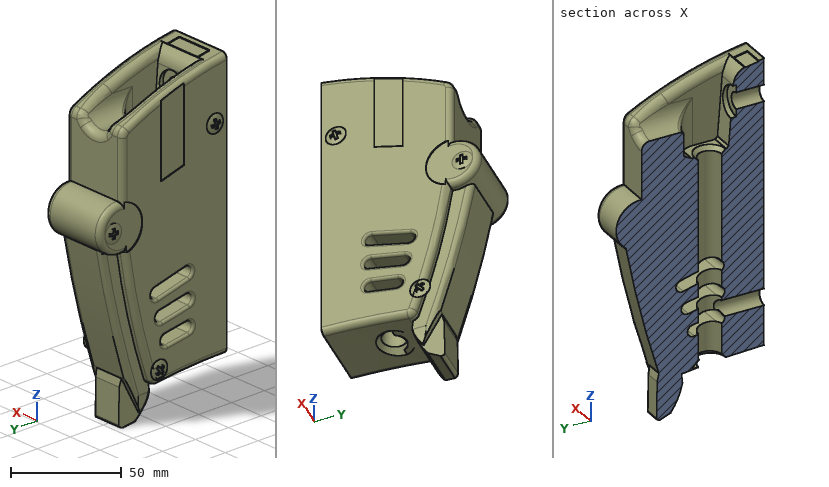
import cadquery as cq
import math


clearance = 1.7

body_half_width = 18.5
body_front_y = 63.8
body_top_z = 171.9
body_base_z = 23.7
front_top_z = 151.1
roof_mid_point = (26.0, 166.4)
lower_front_mid_point = (56.9, 62.7)
toe_point = (44.7, 20.3)
base_mid_point = (20.6, 22.9)
front_corner_radius = 5.2
toe_radius = 3.8
edge_radius = 3.1

channel_radius = 10.0
channel_z = 155.5
pocket_end_y = 31.6
pocket_back_y = 18.5
pocket_foot_y = 19.8
pocket_rim_y = 10.3
pocket_rim_z = 170.0
pocket_floor_z = 130.7
pocket_round_mid_point = (14.5, 167.1)
pocket_round_end_point = (16.2, 162.5)
floor_front_y = 37.8
ramp_top_point = (42.0, 133.0)
ramp_overlap = 0.9
rim_radius = 4.3
lip_radius = 2.0

bore_y = 28.2
bore_diameter = 12.0
bore_entry_diameter = 16.2
bore_exit_diameter = 18.5
bore_exit_z = 22.0

mount_diameter = 8.5
mount_seat_diameter = 16.2
mount_seat_y = 14.6
upper_mount_z = 153.9
lower_mount_z = 48.7

slots = [
    ((42.8, 66.0), (23.9, 70.8)),
    ((40.0, 53.8), (23.5, 57.2)),
    ((36.8, 41.5), (23.5, 43.7)),
]
slot_radius = 3.0
slot_edge_radius = 1.4

label_depth = 0.25
side_label_back_y = 26.0
side_label_front_y = 39.9
side_label_back_z = 124.3
side_label_front_z = 120.3
top_label_half_width = 10.1
top_label_back_y = 3.0
top_label_back_z = 171.0
top_label_front_y = 10.1
top_label_front_z = 169.8

hub_y = 64.1
hub_z = 103.7
hub_radius = 12.9
hub_half_width = 18.2
arm_half_width = 13.2
arm_top_point = (71.9, 93.2)
arm_mid_point = (64.8, 60.2)
arm_bottom_point = (55.0, 25.0)
arm_tip_point = (47.1, 6.5)
arm_heel_mid_point = (44.2, 10.7)
heel_point = (42.3, 16.0)
arm_inner_bottom_point = (43.0, 22.3)
arm_inner_mid_point = (53.3, 63.6)
arm_pick_reach = 8.6
arm_edge_radius = 3.1
tab_half_width = 11.0
tab_root_point = (54.7, 25.0)
tab_shoulder_point = (55.7, 20.3)
tab_lower_front_point = (56.0, 1.7)
tab_nose_mid_point = (55.5, 0.5)
tab_nose_point = (54.2, 0)
tab_heel_start_point = (48.7, 2.0)
tab_heel_mid_point = (44.5, 9.0)
tab_inner_point = (43.8, 23.2)
tab_corner = 2.0
tab_back_y = 41.3
tab_front_y = 56.2
tab_front_half_width = 7.7
taper_start_z = 16.0
taper_mid_half_width = 12.5
taper_mid_z = 8.6

head_diameter = 10.0
head_height = 1.2
recess_depth = 0.9
recess_length = 5.0
recess_width = 1.4
left_screws = [(7.2, 139.2, 15), (41.1, 28.0, 40)]
right_screws = [(7.2, 136.8, 15), (48.5, 33.9, 40)]
lever_screw = (68.8, 103.0, 0)
lever_head_height = 0.95


def extrude_across(sketch, half_width):
    """Extrude a closed Y-Z outline equally to both sides of the middle plane."""
    return sketch.extrude(half_width, both=True)


def side_plane(x=0.0):
    """Y-Z sketch plane at the given x."""
    return cq.Workplane("YZ", origin=(x, 0, 0))


def crosswise_edge(y, z):
    """Selector for an edge that runs across the part at (y, z)."""
    reach = 0.9
    return cq.selectors.BoxSelector(
        (-clearance, y - reach, z - reach), (clearance, y + reach, z + reach)
    )


def make_body_blank():
    """Solid housing with rounded corners and side edges; the mounting face stays sharp."""
    outline = (
        side_plane()
        .moveTo(0, body_base_z)
        .lineTo(0, body_top_z)
        .threePointArc(roof_mid_point, (body_front_y, front_top_z))
        .lineTo(body_front_y, hub_z)
        .threePointArc(lower_front_mid_point, toe_point)
        .threePointArc(base_mid_point, (0, body_base_z))
        .close()
    )
    blank = extrude_across(outline, body_half_width)
    blank = blank.edges(crosswise_edge(body_front_y, front_top_z)).fillet(front_corner_radius)
    blank = blank.edges(crosswise_edge(*toe_point)).fillet(toe_radius)
    return blank.faces("<X or >X").edges("not(<Y)").fillet(edge_radius)


def cut_rope_opening(body):
    """Open the U-shaped rope channel to the top and front, sink the pocket and round the rim."""
    above_body = body_top_z + clearance
    pocket_front_y = pocket_end_y + channel_radius
    channel = (
        cq.Workplane("XZ", origin=(0, pocket_end_y, 0))
        .moveTo(-channel_radius, above_body)
        .lineTo(-channel_radius, channel_z)
        .threePointArc((0, channel_z - channel_radius), (channel_radius, channel_z))
        .lineTo(channel_radius, above_body)
        .close()
        .extrude(-body_front_y)
    )
    pocket = (
        cq.Workplane("XY", origin=(0, 0, pocket_floor_z))
        .moveTo(-channel_radius, pocket_rim_y)
        .lineTo(-channel_radius, pocket_end_y)
        .threePointArc((0, pocket_front_y), (channel_radius, pocket_end_y))
        .lineTo(channel_radius, pocket_rim_y)
        .close()
        .extrude(above_body - pocket_floor_z)
    )
    body = body.cut(channel.union(pocket))
    pick_margin = 0.2
    rim_reach = channel_radius + pick_margin
    side_rims = cq.selectors.BoxSelector(
        (-rim_reach, pocket_rim_y + clearance, channel_z + pick_margin),
        (rim_reach, body_front_y - 2 * clearance, body_top_z),
    )
    lip = cq.selectors.BoxSelector(
        (-clearance, pocket_end_y + pick_margin, pocket_floor_z + clearance),
        (clearance, pocket_front_y + clearance, channel_z),
    )
    body = body.edges(side_rims).fillet(rim_radius)
    return body.edges(lip).fillet(lip_radius)


def make_pocket_slopes():
    """Rounded back wall of the pocket and the ramp that leads from the floor to the channel."""
    buried_z = pocket_floor_z - clearance
    back_wall = (
        side_plane()
        .moveTo(pocket_rim_y - clearance, buried_z)
        .lineTo(pocket_rim_y - clearance, pocket_rim_z)
        .lineTo(pocket_rim_y, pocket_rim_z)
        .threePointArc(pocket_round_mid_point, pocket_round_end_point)
        .lineTo(pocket_back_y, pocket_floor_z + pocket_foot_y - pocket_back_y)
        .lineTo(pocket_foot_y, pocket_floor_z)
        .lineTo(pocket_foot_y, buried_z)
        .close()
    )
    ramp_end_y = pocket_end_y + channel_radius + ramp_overlap
    ramp = (
        side_plane()
        .moveTo(floor_front_y, pocket_floor_z)
        .lineTo(*ramp_top_point)
        .lineTo(ramp_end_y, ramp_top_point[1])
        .lineTo(ramp_end_y, pocket_floor_z)
        .close()
    )
    return extrude_across(back_wall, channel_radius + rim_radius).union(
        extrude_across(ramp, channel_radius)
    )


def drill_rope_bore(body):
    """Bore straight down from the pocket floor, flared at both ends."""
    bore = (
        cq.Workplane("XY", origin=(0, bore_y, 0))
        .circle(bore_diameter / 2)
        .extrude(pocket_floor_z + clearance)
    )
    entry_depth = (bore_entry_diameter - bore_diameter) / 2
    entry = cq.Workplane("XY").add(
        cq.Solid.makeCone(
            bore_diameter / 2,
            bore_entry_diameter / 2,
            entry_depth,
            pnt=(0, bore_y, pocket_floor_z - entry_depth),
        )
    )
    exit_depth = (bore_exit_diameter - bore_diameter) / 2
    exit_flare = cq.Workplane("XY").add(
        cq.Solid.makeCone(
            bore_exit_diameter / 2,
            bore_diameter / 2,
            exit_depth,
            pnt=(0, bore_y, bore_exit_z),
        )
    )
    return body.cut(bore).cut(entry).cut(exit_flare)


def drill_mounting_holes(body):
    """Upper through hole with a screw seat in the pocket wall and lower hole into the rope bore."""
    for z, depth in ((upper_mount_z, body_front_y), (lower_mount_z, bore_y)):
        hole = cq.Workplane("XZ", origin=(0, 0, z)).circle(mount_diameter / 2).extrude(-depth)
        body = body.cut(hole)
    seat = (
        cq.Workplane("XZ", origin=(0, mount_seat_y, upper_mount_z))
        .circle(mount_seat_diameter / 2)
        .extrude(mount_seat_y - pocket_end_y)
    )
    return body.cut(seat)


def cut_slots(body):
    """Ventilation slots through both sides with rounded mouths."""
    margin = slot_radius + slot_edge_radius
    for (front_y, front_z), (back_y, back_z) in slots:
        span = math.hypot(front_y - back_y, front_z - back_z)
        tilt = math.degrees(math.atan2(front_z - back_z, front_y - back_y))
        slot = (
            side_plane()
            .center((front_y + back_y) / 2, (front_z + back_z) / 2)
            .slot2D(span + 2 * slot_radius, 2 * slot_radius, tilt)
            .extrude(body_half_width + clearance, both=True)
        )
        body = body.cut(slot)
        for x in (-body_half_width, body_half_width):
            mouth = cq.selectors.BoxSelector(
                (x - slot_edge_radius, back_y - margin, front_z - margin),
                (x + slot_edge_radius, front_y + margin, back_z + margin),
            )
            body = body.edges(mouth).fillet(slot_edge_radius)
    return body


def cut_labels(body):
    """Shallow label recesses on both sides and behind the pocket rim."""
    side_outline = [
        (side_label_back_y, side_label_back_z),
        (side_label_front_y, side_label_front_z),
        (side_label_front_y, body_top_z),
        (side_label_back_y, body_top_z),
    ]
    for x in (-body_half_width, body_half_width):
        body = body.cut(side_plane(x).polyline(side_outline).close().extrude(label_depth, both=True))
    top_outline = (
        side_plane()
        .moveTo(top_label_back_y, body_top_z)
        .lineTo(top_label_back_y, top_label_back_z)
        .lineTo(top_label_front_y, top_label_front_z)
        .lineTo(top_label_front_y, body_top_z)
        .close()
    )
    return body.cut(extrude_across(top_outline, top_label_half_width))


def cut_hub_seats(body):
    """Clear the housing sides around the lever hub."""
    for x in (-body_half_width, body_half_width):
        seat = side_plane(x).center(hub_y, hub_z).circle(hub_radius)
        body = body.cut(seat.extrude(body_half_width - hub_half_width, both=True))
    return body


def make_arm():
    """Lever arm along the front of the housing with rounded front edges."""
    outline = (
        side_plane()
        .moveTo(hub_y, hub_z)
        .lineTo(*arm_top_point)
        .threePointArc(arm_mid_point, arm_bottom_point)
        .lineTo(*arm_tip_point)
        .threePointArc(arm_heel_mid_point, heel_point)
        .lineTo(*arm_inner_bottom_point)
        .lineTo(*arm_inner_mid_point)
        .close()
    )
    arm = extrude_across(outline, arm_half_width)
    pick_x = arm_half_width + clearance
    mid_y, mid_z = arm_mid_point
    front_edges = cq.selectors.BoxSelector(
        (-pick_x, mid_y - clearance, mid_z - arm_pick_reach),
        (pick_x, mid_y + clearance, mid_z + arm_pick_reach),
    )
    return arm.edges(front_edges).fillet(arm_edge_radius)


def make_tab():
    """Thumb tab at the end of the arm, narrowing toward the front."""
    outline = (
        side_plane()
        .moveTo(*tab_root_point)
        .lineTo(*tab_shoulder_point)
        .lineTo(*tab_lower_front_point)
        .threePointArc(tab_nose_mid_point, tab_nose_point)
        .lineTo(*tab_heel_start_point)
        .threePointArc(tab_heel_mid_point, heel_point)
        .lineTo(*tab_inner_point)
        .close()
    )
    plan = (
        cq.Workplane("XY")
        .moveTo(-arm_half_width, tab_back_y)
        .lineTo(arm_half_width, tab_back_y)
        .lineTo(tab_front_half_width, tab_front_y)
        .lineTo(-tab_front_half_width, tab_front_y)
        .close()
        .extrude(hub_z)
    )
    return extrude_across(outline, arm_half_width).intersect(plan)


def make_lever():
    """Pivot hub with the arm and tab, both tapered toward the lower end."""
    hub = extrude_across(side_plane().center(hub_y, hub_z).circle(hub_radius), hub_half_width)
    hub = hub.edges("%CIRCLE").fillet(edge_radius)
    taper = (
        cq.Workplane("XZ")
        .moveTo(-arm_half_width, hub_z)
        .lineTo(-arm_half_width, taper_start_z)
        .threePointArc((-taper_mid_half_width, taper_mid_z), (-tab_half_width, tab_corner))
        .lineTo(-tab_half_width + tab_corner, 0)
        .lineTo(tab_half_width - tab_corner, 0)
        .lineTo(tab_half_width, tab_corner)
        .threePointArc((taper_mid_half_width, taper_mid_z), (arm_half_width, taper_start_z))
        .lineTo(arm_half_width, hub_z)
        .close()
        .extrude(-2 * hub_y)
    )
    return hub.union(make_arm().union(make_tab()).intersect(taper))


def make_screw_head(x, screw, height):
    """Domed cross-recessed head standing on the side at x."""
    y, z, turn = screw
    radius = head_diameter / 2
    dome_radius = (radius**2 + height**2) / (2 * height)
    half_way_height = height - dome_radius + math.sqrt(dome_radius**2 - (radius / 2) ** 2)
    head = (
        cq.Workplane("XZ")
        .lineTo(radius, 0)
        .threePointArc((radius / 2, half_way_height), (0, height))
        .close()
        .revolve(360, (0, 0, 0), (0, 1, 0))
    )
    recess_plane = cq.Workplane("XY", origin=(0, 0, height - recess_depth))
    recess = recess_plane.rect(recess_length, recess_width).extrude(height)
    cross_arm = recess_plane.rect(recess_width, recess_length).extrude(height)
    head = head.cut(recess.union(cross_arm)).rotate((0, 0, 0), (0, 0, 1), turn)
    outward = math.copysign(90, x)
    return head.rotate((0, 0, 0), (0, 1, 0), outward).translate((x, y, z))


def add_screws(body):
    """Screw heads on both sides of the housing and at both ends of the lever pivot."""
    for screw in left_screws:
        body = body.union(make_screw_head(-body_half_width, screw, head_height))
    for screw in right_screws:
        body = body.union(make_screw_head(body_half_width, screw, head_height))
    for x in (-hub_half_width, hub_half_width):
        body = body.union(make_screw_head(x, lever_screw, lever_head_height))
    return body


housing = cut_slots(cut_rope_opening(make_body_blank()))
housing = housing.union(make_pocket_slopes())
housing = drill_rope_bore(housing)
housing = drill_mounting_holes(housing)
housing = cut_hub_seats(cut_labels(housing))
result = add_screws(housing.union(make_lever()))